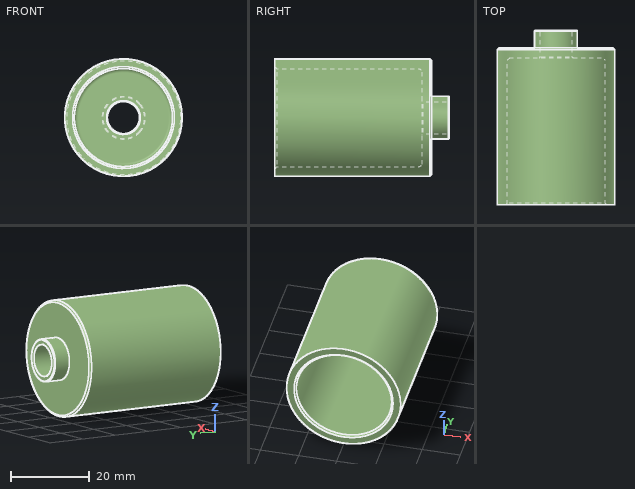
import cadquery as cq

total_length = 44.5
outer_diameter = 30.0
bore_diameter = 25.0
spigot_diameter = 11.0
spigot_length = 4.5
hole_diameter = 8.2

bore_mouth_chamfer = 0.5
bore_floor_fillet = 1.0
closed_end_chamfer = 0.5
spigot_tip_chamfer = 0.2
hole_chamfer = 0.22

body_length = total_length - spigot_length
wall_thickness = (outer_diameter - bore_diameter) / 2
floor_thickness = wall_thickness
bore_depth = body_length - floor_thickness
open_end_y = -total_length / 2
closed_end_y = open_end_y + body_length
bore_floor_y = open_end_y + bore_depth


def cylinder(diameter, start_y, length):
    """Solid cylinder on the Y axis, running from start_y toward +Y."""
    plane = cq.Workplane("XZ", origin=(0, start_y, 0))
    return plane.circle(diameter / 2).extrude(-length)


def make_body():
    """Outer cylinder with a chamfer around its closed end."""
    body = cylinder(outer_diameter, open_end_y, body_length)
    return body.faces(">Y").edges().chamfer(closed_end_chamfer)


def make_spigot():
    """Short stub on the closed end with a chamfered tip."""
    spigot = cylinder(spigot_diameter, closed_end_y, spigot_length)
    return spigot.faces(">Y").edges().chamfer(spigot_tip_chamfer)


def make_bore():
    """Blind bore volume with a rounded floor corner."""
    bore = cylinder(bore_diameter, open_end_y, bore_depth)
    return bore.faces(">Y").edges().fillet(bore_floor_fillet)


def make_countersink(diameter, chamfer, start_y):
    """Cone that chamfers a hole of the given diameter opening toward -Y."""
    profile = (
        cq.Workplane("XY")
        .moveTo(0, start_y)
        .lineTo(diameter / 2 + chamfer, start_y)
        .lineTo(diameter / 2, start_y + chamfer)
        .lineTo(0, start_y + chamfer)
        .close()
    )
    return profile.revolve(360, (0, 0, 0), (0, 1, 0))


result = (
    make_body()
    .union(make_spigot())
    .cut(make_bore())
    .cut(make_countersink(bore_diameter, bore_mouth_chamfer, open_end_y))
    .cut(cylinder(hole_diameter, bore_floor_y, floor_thickness + spigot_length))
    .cut(make_countersink(hole_diameter, hole_chamfer, bore_floor_y))
)